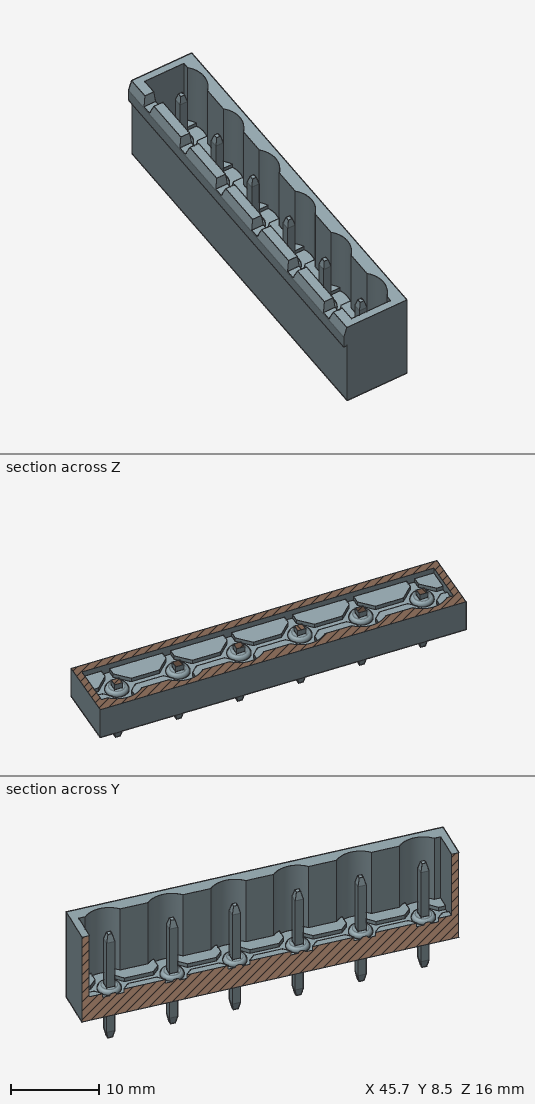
import cadquery as cq


pin_count = 6
length = 45.7
pitch = length / pin_count
pin_xs = [(i - (pin_count - 1) / 2) * pitch for i in range(pin_count)]

height = 12.1
back_y = 3.8
depth = 8.5
lip_overhang = 0.45
lip_height = 3.0
chamfer_depth = 0.4
chamfer_height = 1.35
lip_y = back_y - depth
front_y = lip_y + lip_overhang

end_wall = 0.9
back_wall = 1.65
cavity_depth = 8.7
cavity_width = 5.25
cavity_back_y = back_y - back_wall
cavity_front_y = cavity_back_y - cavity_width
cavity_length = length - 2 * end_wall
cavity_floor_z = height - cavity_depth
scallop_radius = 3.0

channel_depth = 0.5
channel_half_width = 0.55
front_branch_half_width = 0.5
back_branch_half_width = 1.2
junction_half_width = 2.05
channel_floor_z = cavity_floor_z - channel_depth

collar_diameter = 2.8
collar_height = 0.5
collar_round = 0.45

notch_depth = 1.25
notch_top_width = 1.9
notch_bottom_width = 1.15

pin_width = 1.0
pin_recess = 1.33
pin_top_z = height - pin_recess
top_taper_height = 1.0
top_tip_width = 0.5
total_height = 16.0
pin_bottom_z = height - total_height
bottom_taper_height = 1.0
bottom_tip_width = 0.6


def block(x_size, y_min, y_max, z_min, z_max):
    """Box centred on X between the given Y and Z limits."""
    return (
        cq.Workplane("XY", origin=(0, (y_min + y_max) / 2, z_min))
        .rect(x_size, y_max - y_min)
        .extrude(z_max - z_min)
    )


def make_shell():
    """Solid housing with the overhanging, chamfered lip along its front."""
    profile = [
        (back_y, 0),
        (back_y, height),
        (lip_y + chamfer_depth, height),
        (lip_y, height - chamfer_height),
        (lip_y, height - lip_height),
        (front_y, height - lip_height),
        (front_y, 0),
    ]
    return cq.Workplane("YZ").polyline(profile).close().extrude(length / 2, both=True)


def make_scallops(z_min):
    """Round pockets around the pins, which bulge into the back wall, kept behind the pin row."""
    pockets = (
        cq.Workplane("XY", origin=(0, 0, z_min))
        .pushPoints([(x, 0) for x in pin_xs])
        .circle(scallop_radius)
        .extrude(height - z_min)
    )
    return pockets.intersect(block(cavity_length, 0, back_y, z_min, height))


def make_cavity():
    """Plug space: a long pocket with scallops along its back wall."""
    pocket = block(cavity_length, cavity_front_y, cavity_back_y, cavity_floor_z, height)
    return pocket.union(make_scallops(cavity_floor_z))


def make_branch(x):
    """Channel across the floor at one pin, flared at 45 degrees where it meets the long channel."""
    back_flare_y = channel_half_width + junction_half_width - back_branch_half_width
    front_flare_y = -(channel_half_width + junction_half_width - front_branch_half_width)
    right_side = [
        (front_branch_half_width, cavity_front_y),
        (front_branch_half_width, front_flare_y),
        (junction_half_width, -channel_half_width),
        (junction_half_width, channel_half_width),
        (back_branch_half_width, back_flare_y),
        (back_branch_half_width, back_y),
    ]
    left_side = [(-px, py) for px, py in reversed(right_side)]
    return (
        cq.Workplane("XY", origin=(x, 0, channel_floor_z))
        .polyline(right_side + left_side)
        .close()
        .extrude(channel_depth)
    )


def make_channels():
    """Long channel along the pin row with a branch at each pin, kept within the cavity outline."""
    channels = block(cavity_length, -channel_half_width, channel_half_width, channel_floor_z, cavity_floor_z)
    for x in pin_xs:
        channels = channels.union(make_branch(x))
    outline = block(cavity_length, cavity_front_y, cavity_back_y, channel_floor_z, height)
    return channels.intersect(outline.union(make_scallops(channel_floor_z)))


def make_collar(x):
    """Round collar with a rounded rim, standing on the channel floor."""
    return (
        cq.Workplane("XY", origin=(x, 0, channel_floor_z))
        .circle(collar_diameter / 2)
        .extrude(collar_height)
        .faces(">Z")
        .edges()
        .fillet(collar_round)
    )


def make_notch(x):
    """Tapered notch through the front lip, in line with one pin."""
    profile = [
        (-notch_top_width / 2, height),
        (notch_top_width / 2, height),
        (notch_bottom_width / 2, height - notch_depth),
        (-notch_bottom_width / 2, height - notch_depth),
    ]
    return (
        cq.Workplane("XZ", origin=(x, cavity_front_y, 0))
        .polyline(profile)
        .close()
        .extrude(cavity_front_y - lip_y)
    )


def make_pin(x):
    """Square pin running through the housing, tapered at both ends."""
    top_shoulder_z = pin_top_z - top_taper_height
    bottom_shoulder_z = pin_bottom_z + bottom_taper_height
    shank = (
        cq.Workplane("XY", origin=(x, 0, bottom_shoulder_z))
        .rect(pin_width, pin_width)
        .extrude(top_shoulder_z - bottom_shoulder_z)
    )
    with_top = (
        shank.faces(">Z").workplane()
        .rect(pin_width, pin_width)
        .workplane(offset=top_taper_height)
        .rect(top_tip_width, top_tip_width)
        .loft(ruled=True)
    )
    return (
        with_top.faces("<Z").workplane()
        .rect(pin_width, pin_width)
        .workplane(offset=bottom_taper_height)
        .rect(bottom_tip_width, bottom_tip_width)
        .loft(ruled=True)
    )


def make_housing(pins):
    """Complete housing, with a matching hole for every pin."""
    housing = make_shell().cut(make_cavity()).cut(make_channels())
    for x, pin in zip(pin_xs, pins):
        housing = housing.union(make_collar(x)).cut(make_notch(x)).cut(pin)
    return housing


pins = [make_pin(x) for x in pin_xs]
housing = make_housing(pins)

result = cq.Compound.makeCompound([housing.val(), *[pin.val() for pin in pins]])